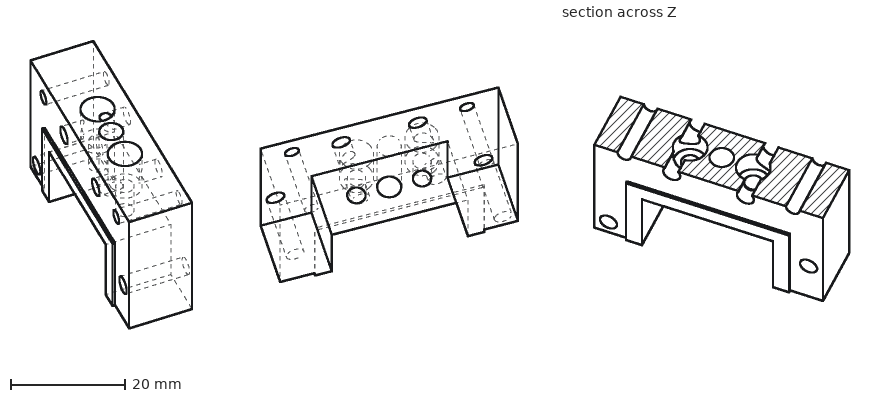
import cadquery as cq

width = 43.5
height = 26.5
total_depth = 12.5
pad_thickness = 0.5
body_depth = total_depth - pad_thickness
channel_width = 24.9
channel_height = 12.5

pad_width = 31.0
pad_height = 15.5

small_diameter = 2.52
large_diameter = 3.2
small_offset_x = 16.0
small_z = height - 4.0
inner_offset_x = 7.0
inner_z = height - 5.0
leg_offset_x = 19.0
left_leg_z = 2.8
right_leg_z = 8.25

center_diameter = 4.2
screw_diameter = 3.2
counterbore_diameter = 6.0
counterbore_depth = 8.0
screw_offset_x = 6.0


def make_body():
    """Block, pad and channel; the block front is at Y = 0 and its base at Z = 0."""
    block = cq.Workplane("XY").box(width, body_depth, height, centered=(True, False, False))
    pad = (
        cq.Workplane("XY")
        .box(pad_width, total_depth, pad_height, centered=(True, False, False))
        .translate((0, -pad_thickness, 0))
    )
    channel = (
        cq.Workplane("XY")
        .box(channel_width, total_depth, channel_height, centered=(True, False, False))
        .translate((0, -pad_thickness, 0))
    )
    return block.union(pad).cut(channel)


def cross_holes(diameter, points):
    """Cylinders through the block along Y at the given (X, Z) points."""
    return cq.Workplane("XZ").pushPoints(points).circle(diameter / 2).extrude(-body_depth)


def top_holes(diameter, depth, offsets_x):
    """Cylinders going down from the top face, on the middle of the block depth."""
    points = [(x, body_depth / 2) for x in offsets_x]
    top_plane = cq.Workplane("XY", origin=(0, 0, height))
    return top_plane.pushPoints(points).circle(diameter / 2).extrude(-depth)


small_points = [(-small_offset_x, small_z), (small_offset_x, small_z)]
large_points = [
    (-inner_offset_x, inner_z),
    (inner_offset_x, inner_z),
    (-leg_offset_x, left_leg_z),
    (leg_offset_x, right_leg_z),
]
screw_offsets = [-screw_offset_x, screw_offset_x]
bridge_height = height - channel_height

result = (
    make_body()
    .cut(cross_holes(small_diameter, small_points))
    .cut(cross_holes(large_diameter, large_points))
    .cut(top_holes(center_diameter, bridge_height, [0]))
    .cut(top_holes(screw_diameter, bridge_height, screw_offsets))
    .cut(top_holes(counterbore_diameter, counterbore_depth, screw_offsets))
)